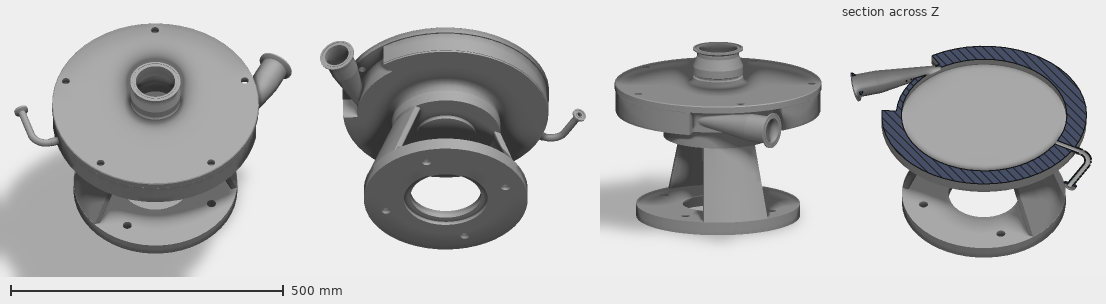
import cadquery as cq
import math

overall_height = 316.5
base_top = 23.5
ring_bottom = 151.5
ring_top = 175.0
casing_bottom = 196.5
casing_top = 238.0
cover_gap = 1.5
cover_thickness = 13.0
cover_bottom = casing_top + cover_gap
cover_top = cover_bottom + cover_thickness

cover_radius = 379.0 / 2
cover_chamfer = 1.5
register_radius = 159.0
cover_hole_count = 5
cover_hole_radius = 7.0
cover_hole_circle = 172.5

hub_radius = 46.0
hub_fillet = 10.0
weld_groove_radius = 43.0
weld_groove_bottom = 265.0
weld_groove_top = 267.5
nozzle_bottom = 269.0
reducer_bottom = 283.0
reducer_top = 302.5
nozzle_neck_radius = 38.5
nozzle_bore_radius = 36.0
nozzle_bore_end = 287.5
cover_bore_radius = 40.0

ferrule_rim = 2.5
ferrule_depth = 6.5
ferrule_groove_width = 3.0
ferrule_groove_depth = 1.0

casing_radius = 188.0
step_radius = 187.0
step_height = 3.0
chamber_radius = 151.5
chamber_floor = 204.0
relief_radius = 161.5
relief_start_angle = 60.0
relief_end_angle = 115.2
neck_radius = 98.5
neck_fillet = 11.0
spigot_radius = 55.5
spigot_bottom = 144.0

port_height = (casing_bottom + casing_top) / 2
outlet_offset = 144.5
outlet_face = 204.0
outlet_cone_end = 159.0
outlet_cone_start = 41.0
outlet_radius = 25.0
outlet_start_radius = 7.5
outlet_wall = 2.5
outlet_flange_radius = 32.5

drain_radius = 6.5
drain_bore_radius = 4.5
drain_stub_radius = 7.45
drain_stub_end = 202.0
drain_bend_radius = 28.0
drain_face = 89.0
drain_flange_radius = 13.0
drain_flange_rim = 4.0
drain_flange_depth = 7.0
drain_stub_start = 148.5

ring_radius = 100.0
base_radius = 150.0
base_bore_radius = 64.5
base_bore_fillet = 2.0
base_recess_radius = 77.0
base_recess_depth = 7.0
base_hole_count = 4
base_hole_radius = 8.0
base_hole_circle = 115.0
leg_foot_radius = 149.5
leg_thickness = 12.0
leg_top_half_width = 48.0
leg_bottom_half_width = 60.0
leg_inner_fillet = 2.5


diagonal = math.sqrt(0.5)


def cylinder(radius, bottom, top):
    """Upright cylinder on the Z axis."""
    return cq.Workplane("XY").workplane(offset=bottom).circle(radius).extrude(top - bottom)


def revolve_about_z(profile):
    """Full turn of an XZ profile about the Z axis."""
    return profile.close().revolve(360, (0, 0, 0), (0, 1, 0))


def hole_circle(count, circle_radius, radius, start_angle, bottom, top):
    """Upright cutters spaced evenly on a circle."""
    return (
        cq.Workplane("XY")
        .workplane(offset=bottom)
        .polarArray(circle_radius, start_angle, 360, count)
        .circle(radius)
        .extrude(top - bottom)
    )


def face_groove(radius, face_height):
    """Gasket groove cutter below an upright ferrule face."""
    bottom = face_height - ferrule_groove_depth
    outer = cylinder(radius + ferrule_groove_width / 2, bottom, face_height)
    inner = cylinder(radius - ferrule_groove_width / 2, bottom, face_height)
    return outer.cut(inner)


def make_cover():
    """Lid with a register that seats on the casing, carrying the inlet nozzle."""
    disc = cylinder(cover_radius, cover_bottom, cover_top).faces(">Z").edges().chamfer(cover_chamfer)
    register = cylinder(register_radius, casing_top, cover_bottom)
    nozzle = revolve_about_z(
        cq.Workplane("XZ")
        .moveTo(0, cover_bottom)
        .lineTo(hub_radius + hub_fillet, cover_bottom)
        .lineTo(hub_radius + hub_fillet, cover_top)
        .threePointArc(
            (hub_radius + hub_fillet * (1 - diagonal), cover_top + hub_fillet * (1 - diagonal)),
            (hub_radius, cover_top + hub_fillet),
        )
        .lineTo(weld_groove_radius, weld_groove_bottom)
        .lineTo(weld_groove_radius, weld_groove_top)
        .lineTo(hub_radius, nozzle_bottom)
        .lineTo(hub_radius, reducer_bottom)
        .lineTo(nozzle_neck_radius, reducer_top)
        .lineTo(nozzle_neck_radius, overall_height - ferrule_depth)
        .lineTo(hub_radius, overall_height - ferrule_rim)
        .lineTo(hub_radius, overall_height)
        .lineTo(0, overall_height)
    )
    bore = revolve_about_z(
        cq.Workplane("XZ")
        .moveTo(0, casing_top)
        .lineTo(cover_bore_radius, casing_top)
        .lineTo(cover_bore_radius, weld_groove_bottom)
        .lineTo(nozzle_bore_radius, nozzle_bore_end)
        .lineTo(nozzle_bore_radius, overall_height)
        .lineTo(0, overall_height)
    )
    groove_radius = (hub_radius + nozzle_bore_radius) / 2
    holes = hole_circle(
        cover_hole_count, cover_hole_circle, cover_hole_radius, 90, cover_bottom, cover_top
    )
    return (
        disc.union(register)
        .union(nozzle)
        .cut(bore)
        .cut(face_groove(groove_radius, overall_height))
        .cut(holes)
    )


def make_casing_shell():
    """Drum with a relief in its rim beside the outlet, and a neck and spigot below."""
    step = cylinder(step_radius, casing_bottom, casing_bottom + step_height)
    drum = cylinder(casing_radius, casing_bottom + step_height, casing_top).union(step)
    start = math.radians(relief_start_angle)
    end = math.radians(relief_end_angle)
    middle = (start + end) / 2
    reach = 2 * casing_radius

    def polar(radius, angle):
        return (radius * math.cos(angle), radius * math.sin(angle))

    relief = (
        cq.Workplane("XY")
        .workplane(offset=casing_bottom)
        .moveTo(*polar(relief_radius, start))
        .threePointArc(polar(relief_radius, middle), polar(relief_radius, end))
        .lineTo(*polar(reach, end))
        .lineTo(*polar(reach, start))
        .close()
        .extrude(casing_top - casing_bottom)
    )
    neck = revolve_about_z(
        cq.Workplane("XZ")
        .moveTo(0, ring_top)
        .lineTo(neck_radius, ring_top)
        .lineTo(neck_radius, casing_bottom - neck_fillet)
        .threePointArc(
            (
                neck_radius + neck_fillet * (1 - diagonal),
                casing_bottom - neck_fillet * (1 - diagonal),
            ),
            (neck_radius + neck_fillet, casing_bottom),
        )
        .lineTo(0, casing_bottom)
    )
    spigot = cylinder(spigot_radius, spigot_bottom, ring_top)
    return drum.cut(relief).union(neck).union(spigot)


def outlet_profile(inset):
    """Half profile of the outlet cone, shrunk by the inset and left open at its wide end."""
    return (
        cq.Workplane("XZ")
        .moveTo(0, outlet_cone_start)
        .lineTo(outlet_start_radius - inset, outlet_cone_start)
        .lineTo(outlet_radius - inset, outlet_cone_end)
    )


def place_outlet(upright):
    """Lay a shape built along +Z onto the outlet axis."""
    return (
        upright.rotate((0, 0, 0), (1, 0, 0), -90)
        .translate((outlet_offset, 0, port_height))
        .rotate((0, 0, 0), (0, 0, 1), 45)
    )


def make_outlet():
    """Flanged pipe that widens from the chamber to its clamp face."""
    body = revolve_about_z(
        outlet_profile(0)
        .lineTo(outlet_radius, outlet_face - ferrule_depth)
        .lineTo(outlet_flange_radius, outlet_face - ferrule_rim)
        .lineTo(outlet_flange_radius, outlet_face)
        .lineTo(0, outlet_face)
    ).cut(face_groove((outlet_flange_radius + outlet_radius - outlet_wall) / 2, outlet_face))
    return place_outlet(body)


def make_outlet_bore():
    inner_radius = outlet_radius - outlet_wall
    return place_outlet(
        revolve_about_z(outlet_profile(outlet_wall).lineTo(inner_radius, outlet_face).lineTo(0, outlet_face))
    )


def drain_tube(radius):
    """Tube leaving the casing along -Y and bending round to -X."""
    bend_y = -drain_stub_end
    path = (
        cq.Workplane("XY")
        .workplane(offset=port_height)
        .moveTo(0, -drain_stub_start)
        .lineTo(0, bend_y)
        .threePointArc(
            (-drain_bend_radius * (1 - diagonal), bend_y - drain_bend_radius * diagonal),
            (-drain_bend_radius, bend_y - drain_bend_radius),
        )
        .lineTo(-drain_face, bend_y - drain_bend_radius)
    )
    start = cq.Workplane("XZ", origin=(0, -drain_stub_start, port_height))
    return start.circle(radius).sweep(path)


def make_drain():
    """Thin flanged tube with a thicker stub where it enters the casing."""
    stub = (
        cq.Workplane("XZ", origin=(0, -drain_stub_start, port_height))
        .circle(drain_stub_radius)
        .extrude(drain_stub_end - drain_stub_start)
    )
    flange = revolve_about_z(
        cq.Workplane("XZ")
        .moveTo(0, -drain_flange_depth)
        .lineTo(drain_radius, -drain_flange_depth)
        .lineTo(drain_flange_radius, -drain_flange_rim)
        .lineTo(drain_flange_radius, 0)
        .lineTo(0, 0)
    ).cut(face_groove((drain_flange_radius + drain_bore_radius) / 2, 0))
    flange = flange.rotate((0, 0, 0), (0, 1, 0), -90).translate(
        (-drain_face, -drain_stub_end - drain_bend_radius, port_height)
    )
    return drain_tube(drain_radius).union(stub).union(flange)


def is_inner_side_edge(edge):
    """True for the sloping edges where a leg's side meets its inner face."""
    middle = edge.positionAt(0.5)
    fraction = (middle.z - base_top) / (ring_bottom - base_top)
    outer_radius = leg_foot_radius + fraction * (ring_radius - leg_foot_radius)
    distance = math.hypot(middle.x, middle.y)
    return 0 < round(fraction, 3) < 1 and distance < outer_radius - leg_thickness / 2


def make_legs():
    """Two strips of one conical shell, narrowing upwards, on the -Y and +Y sides."""
    shell = revolve_about_z(
        cq.Workplane("XZ")
        .moveTo(leg_foot_radius - leg_thickness, base_top)
        .lineTo(leg_foot_radius, base_top)
        .lineTo(ring_radius, ring_bottom)
        .lineTo(ring_radius - leg_thickness, ring_bottom)
    )
    strip = (
        cq.Workplane("XZ")
        .moveTo(-leg_bottom_half_width, base_top)
        .lineTo(leg_bottom_half_width, base_top)
        .lineTo(leg_top_half_width, ring_bottom)
        .lineTo(-leg_top_half_width, ring_bottom)
        .close()
        .extrude(base_radius, both=True)
    )
    legs = shell.intersect(strip)
    inner_edges = [edge for edge in legs.edges().vals() if is_inner_side_edge(edge)]
    return legs.newObject(inner_edges).fillet(leg_inner_fillet)


def make_stand():
    """Mounting ring, two legs and a drilled base flange."""
    ring = cylinder(ring_radius, ring_bottom, ring_top)
    bore = cylinder(base_bore_radius, 0, base_top)
    holes = hole_circle(base_hole_count, base_hole_circle, base_hole_radius, 45, 0, base_top)
    disc = cylinder(base_radius, 0, base_top).cut(bore)
    top_edges = disc.faces(">Z").edges("%CIRCLE")
    base = top_edges.edges(cq.selectors.RadiusNthSelector(0)).fillet(base_bore_fillet)
    recess = cylinder(base_recess_radius, 0, base_recess_depth)
    base = base.cut(recess).cut(holes)
    return ring.union(make_legs()).union(base)


def make_casing():
    """Hollow casing with its outlet, drain and stand in one piece."""
    chamber = cylinder(chamber_radius, chamber_floor, casing_top)
    return (
        make_casing_shell()
        .union(make_outlet())
        .union(make_drain())
        .union(make_stand())
        .cut(chamber)
        .cut(make_outlet_bore())
        .cut(drain_tube(drain_bore_radius))
    )


cover = make_cover()
casing = make_casing()

result = cq.Compound.makeCompound([cover.val(), casing.val()])